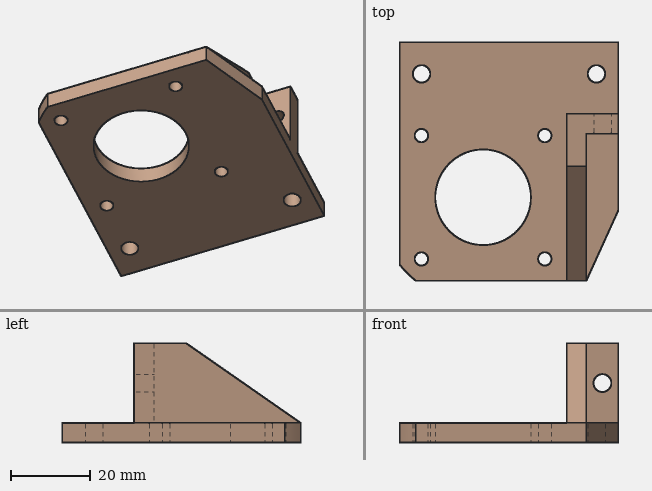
import cadquery as cq
import math

width = 55.0
depth = 60.0
plate_thickness = 5.0

total_height = 25.0
wall = 5.0
web_left = 42.0
web_right = web_left + wall
bracket_back = 42.0
slope_top_y = 28.8
taper_end_y = 17.7

motor_center = 21.0
bore_diameter = 24.0
motor_hole_pitch = 31.0
motor_hole_diameter = 3.3

corner_radius = 27.0
corner_setback = motor_center - math.sqrt(corner_radius**2 - motor_center**2)
arc_mid_inset = motor_center - corner_radius / math.sqrt(2)

mount_hole_diameter = 4.3
mount_hole_inset = 5.5
mount_hole_y = 52.0
flange_hole_diameter = 4.45
flange_hole_x = (web_right + width) / 2
flange_hole_z = (plate_thickness + total_height) / 2


def base_plate():
    """Plate with a rounded front-left and a tapered front-right corner."""
    return (
        cq.Workplane("XY")
        .moveTo(corner_setback, 0)
        .lineTo(web_right, 0)
        .lineTo(width, taper_end_y)
        .lineTo(width, depth)
        .lineTo(0, depth)
        .lineTo(0, corner_setback)
        .threePointArc((arc_mid_inset, arc_mid_inset), (corner_setback, 0))
        .close()
        .extrude(plate_thickness)
    )


def web():
    """Upright wall whose top slopes down to the front edge of the plate."""
    return (
        cq.Workplane("YZ", origin=(web_left, 0, 0))
        .polyline([
            (0, 0),
            (bracket_back, 0),
            (bracket_back, total_height),
            (slope_top_y, total_height),
            (0, plate_thickness),
        ])
        .close()
        .extrude(wall)
    )


def flange():
    """Upright wall across the back end of the web."""
    return cq.Workplane("XY").box(
        width - web_left, wall, total_height, centered=False
    ).translate((web_left, bracket_back - wall, 0))


def plate_holes(points, diameter):
    """Vertical cutters through the plate."""
    return cq.Workplane("XY").pushPoints(points).circle(diameter / 2).extrude(plate_thickness)


half_pitch = motor_hole_pitch / 2
motor_holes = [
    (motor_center + side_x * half_pitch, motor_center + side_y * half_pitch)
    for side_x in (-1, 1)
    for side_y in (-1, 1)
]
mount_holes = [(x, mount_hole_y) for x in (mount_hole_inset, width - mount_hole_inset)]
flange_hole = (
    cq.Workplane("XZ", origin=(0, bracket_back, 0))
    .center(flange_hole_x, flange_hole_z)
    .circle(flange_hole_diameter / 2)
    .extrude(wall)
)

result = (
    base_plate()
    .union(web())
    .union(flange())
    .cut(plate_holes([(motor_center, motor_center)], bore_diameter))
    .cut(plate_holes(motor_holes, motor_hole_diameter))
    .cut(plate_holes(mount_holes, mount_hole_diameter))
    .cut(flange_hole)
)